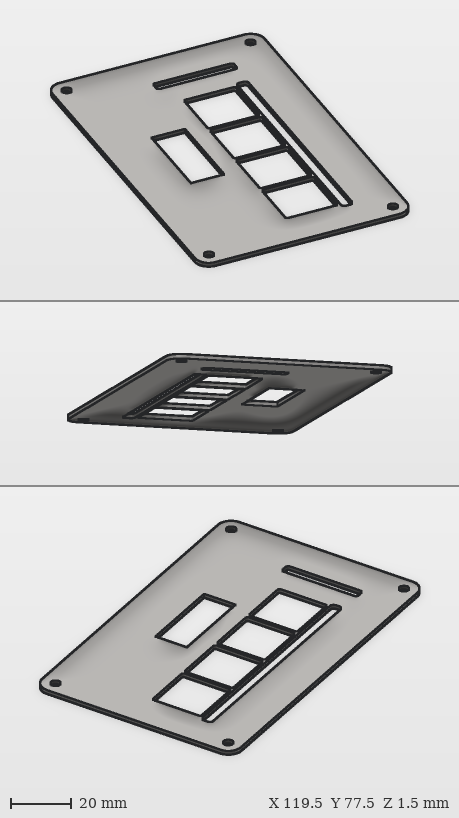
import cadquery as cq

PLATE_LENGTH = 119.5
PLATE_WIDTH = 77.5
PLATE_THICKNESS = 1.5
PLATE_CORNER_RADIUS = 5.0

HOLE_DIAMETER = 3.3
HOLE_SPACING_X = 109.3
HOLE_SPACING_Y = 67.3

KEY_COUNT = 4
KEY_SIZE = 18.9
KEY_PITCH = 20.0
KEY_CORNER_RADIUS = 0.7
KEY_ROW_X = 6.7
KEY_ROW_Y = 8.1

LONG_SLOT_LENGTH = 81.9
LONG_SLOT_WIDTH = 4.1
LONG_SLOT_CORNER_RADIUS = 1.3
LONG_SLOT_Y = 20.5

SIDE_SLOT_WIDTH = 3.7
SIDE_SLOT_HEIGHT = 29.4
SIDE_SLOT_CORNER_RADIUS = 1.0
SIDE_SLOT_X = -44.1
SIDE_SLOT_Y = 8.4

WINDOW_LENGTH = 30.2
WINDOW_HEIGHT = 12.2
WINDOW_X = -1.8
WINDOW_Y = -14.5


def rectangular_block(length, width, x=0.0, y=0.0, corner_radius=0.0):
    """Block of plate thickness centred at (x, y), with optional rounded upright edges."""
    block = cq.Workplane("XY").center(x, y).rect(length, width).extrude(PLATE_THICKNESS)
    if corner_radius > 0:
        block = block.edges("|Z").fillet(corner_radius)
    return block


plate = rectangular_block(PLATE_LENGTH, PLATE_WIDTH, corner_radius=PLATE_CORNER_RADIUS)

mounting_holes = (
    cq.Workplane("XY")
    .rect(HOLE_SPACING_X, HOLE_SPACING_Y, forConstruction=True)
    .vertices()
    .circle(HOLE_DIAMETER / 2)
    .extrude(PLATE_THICKNESS)
)
plate = plate.cut(mounting_holes)

first_key_x = KEY_ROW_X - (KEY_COUNT - 1) * KEY_PITCH / 2
for key_index in range(KEY_COUNT):
    key_x = first_key_x + key_index * KEY_PITCH
    plate = plate.cut(rectangular_block(KEY_SIZE, KEY_SIZE, key_x, KEY_ROW_Y, KEY_CORNER_RADIUS))

long_slot = rectangular_block(
    LONG_SLOT_LENGTH, LONG_SLOT_WIDTH, KEY_ROW_X, LONG_SLOT_Y, LONG_SLOT_CORNER_RADIUS
)
side_slot = rectangular_block(
    SIDE_SLOT_WIDTH, SIDE_SLOT_HEIGHT, SIDE_SLOT_X, SIDE_SLOT_Y, SIDE_SLOT_CORNER_RADIUS
)
window = rectangular_block(WINDOW_LENGTH, WINDOW_HEIGHT, WINDOW_X, WINDOW_Y)

result = plate.cut(long_slot).cut(side_slot).cut(window)